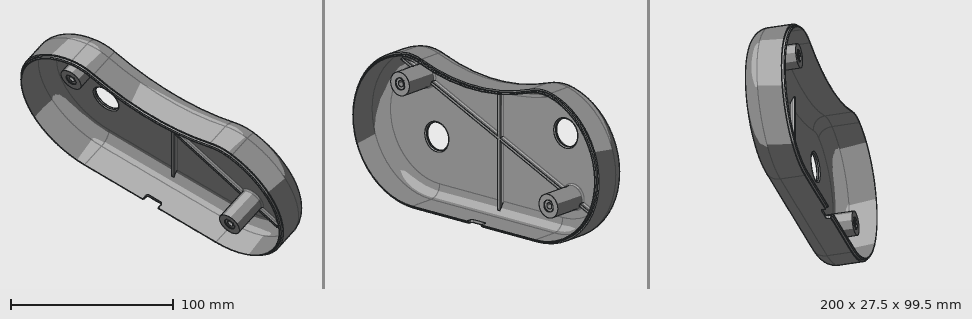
import cadquery as cq
import math

LOBE_RADIUS = 50.0
LOBE_X = 50.0
BLEND_RADIUS = 30.0
BLEND_X = 54.4
SADDLE_RADIUS = 132.0

DEPTH = 27.5
FLOOR = 2.0
WALL = 2.0
BACK_FILLET = 10.0
LIP_HEIGHT = 2.0
LIP_STEP = 1.0
LIP_CHAMFER = 0.5

NOTCH_WIDTH = 11.5
NOTCH_DEPTH = 4.8
NOTCH_FILLET = 1.4

HOLE_CENTERS = [(-52.4, -10.0), (52.4, 15.2)]
HOLE_RADIUS = 9.0
HOLE_CHAMFER = 0.8

BOSS_CENTERS = [(-61.8, 28.0), (58.8, -24.8)]
BOSS_RADIUS = 7.5
BOSS_TOP_Y = LIP_HEIGHT
BORE_RADIUS = 2.0
BORE_DEPTH = 16.0
BORE_MOUTH_RADIUS = 3.8
BORE_MOUTH_DEPTH = 0.8

RIB_HEIGHT = 2.4
RIB_WIDTH = 1.8

FOOT_FILLET = 1.0

INNER_FLOOR_Y = DEPTH - FLOOR
ROOT_Y = DEPTH - FLOOR / 2
COS_45 = math.sqrt(0.5)


def outline(inset):
    """Closed XZ outline of the part, offset inwards by the inset."""
    lobe = LOBE_RADIUS - inset
    blend = BLEND_RADIUS - inset
    saddle = SADDLE_RADIUS + inset
    blend_shift = BLEND_X - LOBE_X
    blend_z = math.sqrt((LOBE_RADIUS - BLEND_RADIUS) ** 2 - blend_shift**2)
    saddle_z = blend_z + math.sqrt((SADDLE_RADIUS + BLEND_RADIUS) ** 2 - BLEND_X**2)

    lobe_end_x = LOBE_X + lobe * blend_shift / (LOBE_RADIUS - BLEND_RADIUS)
    lobe_end_z = lobe * blend_z / (LOBE_RADIUS - BLEND_RADIUS)
    saddle_end_x = saddle * BLEND_X / (SADDLE_RADIUS + BLEND_RADIUS)
    saddle_end_z = saddle_z - saddle * (saddle_z - blend_z) / (SADDLE_RADIUS + BLEND_RADIUS)

    return (
        cq.Workplane(cq.Plane(origin=(0, 0, 0), xDir=(-1, 0, 0), normal=(0, 1, 0)))
        .moveTo(-LOBE_X, -lobe)
        .lineTo(LOBE_X, -lobe)
        .threePointArc((LOBE_X + lobe, 0), (lobe_end_x, lobe_end_z))
        .threePointArc((BLEND_X, blend_z + blend), (saddle_end_x, saddle_end_z))
        .threePointArc((0, saddle_z - saddle), (-saddle_end_x, saddle_end_z))
        .threePointArc((-BLEND_X, blend_z + blend), (-lobe_end_x, lobe_end_z))
        .threePointArc((-LOBE_X - lobe, 0), (-LOBE_X, -lobe))
        .close()
    )


def filled_tray(inset, back_y):
    """Solid from the rim to back_y, with the rounded back edge."""
    return outline(inset).extrude(back_y).faces(">Y").edges().fillet(BACK_FILLET - inset)


def cylinder(center, radius, start_y, end_y):
    x, z = center
    axis_start = cq.Vector(x, start_y, z)
    return cq.Workplane(cq.Solid.makeCylinder(radius, end_y - start_y, axis_start, cq.Vector(0, 1, 0)))


def lip_trim():
    """Material outside the lip, removed to leave a shoulder and a chamfered rim."""
    lip = outline(LIP_STEP).extrude(LIP_HEIGHT).faces("<Y").chamfer(LIP_CHAMFER)
    return outline(-LIP_STEP).extrude(LIP_HEIGHT).cut(lip)


def notch():
    return (
        cq.Workplane("XY")
        .box(NOTCH_WIDTH, 2 * NOTCH_DEPTH, 4 * WALL)
        .edges("|Z and >Y")
        .fillet(NOTCH_FILLET)
        .translate((0, 0, -LOBE_RADIUS))
    )


def chamfered_hole(center):
    x, z = center
    mouth = cq.Solid.makeCone(
        HOLE_RADIUS + HOLE_CHAMFER,
        HOLE_RADIUS,
        HOLE_CHAMFER,
        cq.Vector(x, INNER_FLOOR_Y, z),
        cq.Vector(0, 1, 0),
    )
    return cylinder(center, HOLE_RADIUS, INNER_FLOOR_Y, DEPTH).union(cq.Workplane(mouth))


def half_profile(half_width, top_y):
    """Section of a boss or rib on one side of the Y axis, with its foot fillet."""
    fillet_start = INNER_FLOOR_Y - FOOT_FILLET
    foot = half_width + FOOT_FILLET
    arc_middle = (foot - FOOT_FILLET * COS_45, fillet_start + FOOT_FILLET * COS_45)
    return (
        cq.Workplane("XY")
        .moveTo(0, top_y)
        .lineTo(half_width, top_y)
        .lineTo(half_width, fillet_start)
        .threePointArc(arc_middle, (foot, INNER_FLOOR_Y))
        .lineTo(foot, ROOT_Y)
        .lineTo(0, ROOT_Y)
        .close()
    )


def boss(center):
    x, z = center
    post = half_profile(BOSS_RADIUS, BOSS_TOP_Y).revolve(360, (0, 0), (0, 1))
    return post.translate((x, 0, z))


def boss_bore(center):
    bore = cylinder(center, BORE_RADIUS, BOSS_TOP_Y, BOSS_TOP_Y + BORE_DEPTH)
    mouth = cylinder(center, BORE_MOUTH_RADIUS, BOSS_TOP_Y, BOSS_TOP_Y + BORE_MOUTH_DEPTH)
    return bore.union(mouth)


def rib(angle, middle):
    """Rib across the whole part, turned in the XZ plane and trimmed inside the shell."""
    x, z = middle
    half = half_profile(RIB_WIDTH / 2, INNER_FLOOR_Y - RIB_HEIGHT).extrude(LOBE_X + LOBE_RADIUS, both=True)
    bar = half.union(half.mirror("YZ")).rotate((0, 0, 0), (0, 1, 0), 90 - angle)
    return bar.translate((x, 0, z)).intersect(filled_tray(WALL / 2, ROOT_Y))


def diagonal_rib():
    """Rib along the line through both boss centres."""
    (left_x, left_z), (right_x, right_z) = BOSS_CENTERS
    angle = math.degrees(math.atan2(right_z - left_z, right_x - left_x))
    return rib(angle, ((left_x + right_x) / 2, (left_z + right_z) / 2))


body = filled_tray(0, DEPTH).cut(filled_tray(WALL, INNER_FLOOR_Y))
body = body.cut(lip_trim()).cut(notch())

body = body.union(rib(90, (0, 0)))
body = body.union(diagonal_rib())

for boss_center in BOSS_CENTERS:
    body = body.union(boss(boss_center)).cut(boss_bore(boss_center))

for hole_center in HOLE_CENTERS:
    body = body.cut(chamfered_hole(hole_center))

result = body